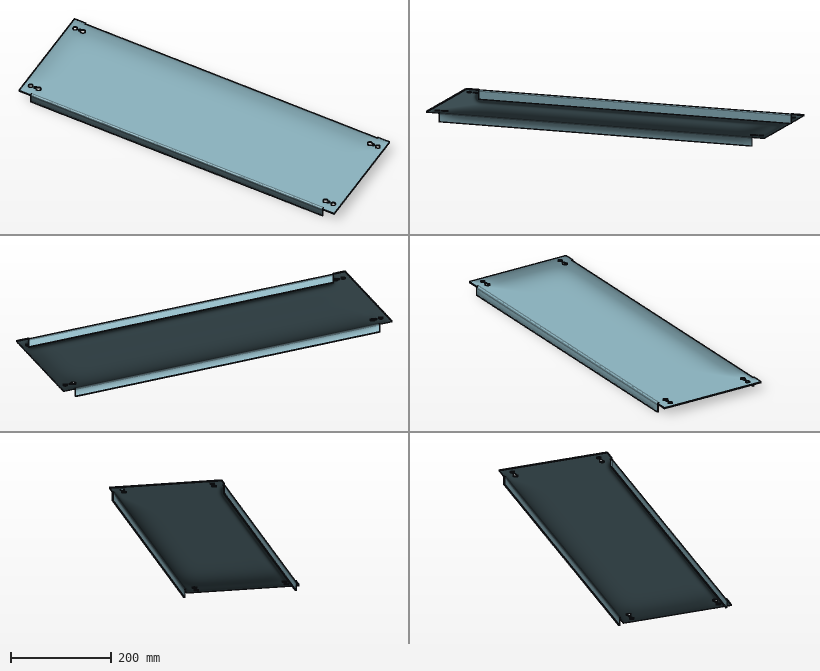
import cadquery as cq

length = 717.5
width = 229.5
height = 20.0

thickness = 2.5
inner_bend_radius = 1.5
outer_bend_radius = inner_bend_radius + thickness
flange_setback = 26.5

hole_diameter = 9.0
hole_end_distance = 14.0
hole_edge_distance = 23.0

keyhole_diameter = 10.0
keyhole_end_distance = 32.0
slot_width = 5.0
slot_tip_end_distance = 22.0


def folded_panel():
    """Panel with both long edges folded down, top face at Z = 0."""
    channel = (
        cq.Workplane("XY")
        .box(length - 2 * flange_setback, width, height, centered=(True, True, False))
        .translate((0, 0, -height))
        .edges("|X and >Z")
        .fillet(outer_bend_radius)
    )
    inner_height = height - thickness
    cavity = (
        cq.Workplane("XY")
        .box(length, width - 2 * thickness, inner_height, centered=(True, True, False))
        .translate((0, 0, -height))
        .edges("|X and >Z")
        .fillet(inner_bend_radius)
    )
    return channel.cut(cavity)


def end_tab(side):
    """Flat, full-width end of the panel beyond the flanges."""
    center_x = side * (length - flange_setback) / 2
    return (
        cq.Workplane("XY")
        .box(flange_setback, width, thickness)
        .translate((center_x, 0, -thickness / 2))
    )


def corner_cutter(side_x, side_y):
    """Mounting hole and keyhole of one corner."""
    y = side_y * (width / 2 - hole_edge_distance)
    hole_x = side_x * (length / 2 - hole_end_distance)
    keyhole_x = side_x * (length / 2 - keyhole_end_distance)
    slot_length = keyhole_end_distance - slot_tip_end_distance
    base = cq.Workplane("XY").workplane(offset=-thickness)
    hole = base.center(hole_x, y).circle(hole_diameter / 2).extrude(thickness)
    opening = base.center(keyhole_x, y).circle(keyhole_diameter / 2).extrude(thickness)
    tip_radius = slot_width / 2
    tip_center_x = keyhole_x + side_x * (slot_length - tip_radius)
    slot_body = (
        base.center((keyhole_x + tip_center_x) / 2, y)
        .rect(slot_length - tip_radius, slot_width)
        .extrude(thickness)
    )
    slot_tip = base.center(tip_center_x, y).circle(tip_radius).extrude(thickness)
    return hole.union(opening).union(slot_body).union(slot_tip)


result = folded_panel()
for side_x in (-1, 1):
    result = result.union(end_tab(side_x))
for side_x in (-1, 1):
    for side_y in (-1, 1):
        result = result.cut(corner_cutter(side_x, side_y))